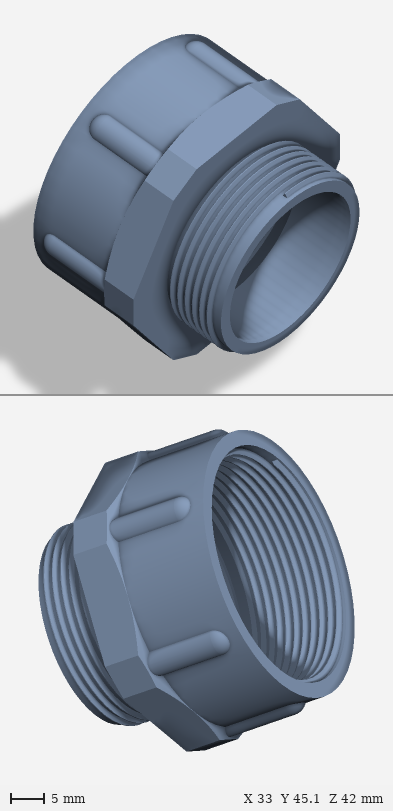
import cadquery as cq
import math

total_length = 33.0
collar_length = 15.1
collar_diameter = 41.9
hex_end = 22.0
hex_flats = 42.0
hex_corner_flats = 45.1
hex_chamfer_angle = 30.0
spigot_diameter = 30.3

socket_diameter = 37.2
socket_depth = 18.0
bore_diameter = 26.4

thread_base_width = 1.05
thread_crest_width = 0.15
thread_overlap = 0.15
outer_thread_height = 0.75
outer_thread_start = 22.65
outer_thread_start_angle = 23.0
outer_thread_end_angle = 90.0
outer_thread_full_turns = 6
inner_thread_height = 0.85
inner_thread_start = 0.75
inner_thread_start_angle = 90.0
inner_thread_turns = 11
inner_thread_length = 16.45
thread_pitch = inner_thread_length / inner_thread_turns

rib_count = 6
rib_radius = 2.35
rib_top_radius = 22.25
rib_tip = 2.05


def cylinder(start, end, diameter):
    """Solid cylinder along X."""
    return cq.Workplane("YZ").workplane(offset=start).circle(diameter / 2).extrude(end - start)


def hexagon(across_flats, flat_direction):
    """Hexagonal prism of the nut with one flat facing flat_direction degrees from Y."""
    circumscribed_diameter = across_flats / math.cos(math.pi / 6)
    return (
        cq.Workplane("YZ")
        .workplane(offset=collar_length)
        .polygon(6, circumscribed_diameter)
        .extrude(hex_end - collar_length)
        .rotate((0, 0, 0), (1, 0, 0), flat_direction - 30)
    )


def make_nut():
    """Hexagon with flattened corners and a conical chamfer on the collar side."""
    nut = hexagon(hex_flats, 90).intersect(hexagon(hex_corner_flats, 0))
    outside_radius = hex_corner_flats
    face_radius = hex_flats / 2
    chamfer_run = (outside_radius - face_radius) * math.tan(math.radians(hex_chamfer_angle))
    envelope = (
        cq.Workplane("XY")
        .polyline([
            (collar_length, 0),
            (collar_length, face_radius),
            (collar_length + chamfer_run, outside_radius),
            (collar_length + chamfer_run, 0),
        ])
        .close()
        .revolve(360, (0, 0, 0), (1, 0, 0))
    )
    return nut.intersect(envelope)


def make_rib(angle):
    """Round-nosed grip rib, running into the nut."""
    nose_start = rib_tip + rib_radius
    axis_radius = rib_top_radius - rib_radius
    shaft = cylinder(nose_start, hex_end - rib_radius, 2 * rib_radius)
    nose = cq.Workplane("XY").sphere(rib_radius).translate((nose_start, 0, 0))
    rib = shaft.union(nose).translate((0, axis_radius, 0))
    return rib.rotate((0, 0, 0), (1, 0, 0), angle)


def make_cavity():
    """Socket with a step at its floor, then a funnel and the through bore."""
    socket_radius = socket_diameter / 2
    bore_radius = bore_diameter / 2
    return (
        cq.Workplane("XY")
        .polyline([
            (0, 0),
            (0, socket_radius),
            (socket_depth, socket_radius),
            (socket_depth, socket_radius - inner_thread_height),
            (hex_end, bore_radius),
            (total_length, bore_radius),
            (total_length, 0),
        ])
        .close()
        .revolve(360, (0, 0, 0), (1, 0, 0))
    )


def make_thread(base_radius, height, start, start_angle, turns):
    """Right-handed ridge starting start_angle degrees from +Y; a negative height points it inward."""
    side = math.copysign(1, height)
    root = base_radius - side * thread_overlap
    crest = base_radius + height
    path = cq.Wire.makeHelix(thread_pitch, thread_pitch * turns, base_radius)
    ridge = (
        cq.Workplane("XZ")
        .polyline([
            (root, -thread_base_width / 2),
            (crest, -thread_crest_width / 2),
            (crest, thread_crest_width / 2),
            (root, thread_base_width / 2),
        ])
        .close()
        .sweep(cq.Workplane(path), isFrenet=True)
    )
    ridge = ridge.rotate((0, 0, 0), (1, 1, 1), 120)
    return ridge.rotate((0, 0, 0), (1, 0, 0), start_angle).translate((start, 0, 0))


body = cylinder(0, hex_end, collar_diameter).union(make_nut())
body = body.union(cylinder(hex_end, total_length, spigot_diameter))
for index in range(rib_count):
    body = body.union(make_rib(index * 360 / rib_count))
body = body.cut(make_cavity())

outer_thread_turns = (
    outer_thread_full_turns + (outer_thread_end_angle - outer_thread_start_angle) / 360
)
outer_thread = make_thread(
    spigot_diameter / 2,
    outer_thread_height,
    outer_thread_start,
    outer_thread_start_angle,
    outer_thread_turns,
)
inner_thread = make_thread(
    socket_diameter / 2,
    -inner_thread_height,
    inner_thread_start,
    inner_thread_start_angle,
    inner_thread_turns,
)
result = body.union(outer_thread).union(inner_thread)